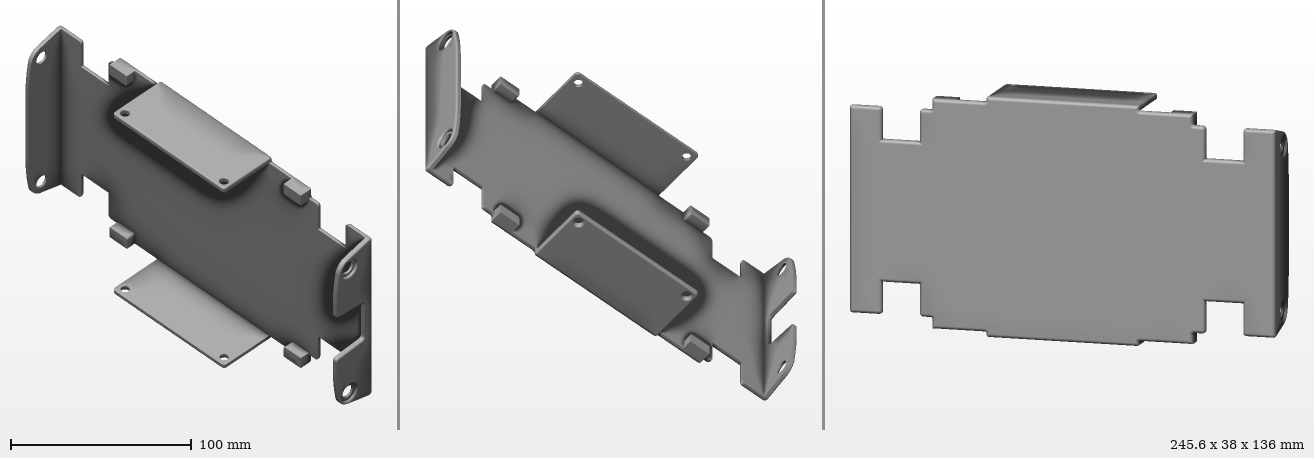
import cadquery as cq
import math

thickness = 3.0
back_round = 2.0
edge_round = 1.1

overall_length = 245.6
overall_height = 136.0
half_length = overall_length / 2
middle_half_height = overall_height / 2 - thickness
shoulder_half_height = 58.7
middle_half_length = 75.2
notch_half_height = 40.3
notch_inner_x = 82.5
notch_outer_x = 104.1
plate_corner_radius = 2.0
inside_corner_radius = 1.0

wide_flange_length = 88.0
wide_flange_depth = 38.0
wide_corner_radius = 2.0
wide_hole_diameter = 5.0
wide_hole_inset = 5.0

end_flange_depth = 28.3
end_hole_depth = 18.1
end_hole_z = 46.6
end_hole_diameter = 8.0
end_bore_diameter = 12.0
end_bore_depth = 1.6
end_bore_round = 1.1
end_corner_radius = 10.0
end_corner_depth = 16.5
end_corner_z = 44.9
straight_half_height = 25.5

cutout_floor_depth = 6.4
cutout_floor_half_height = 14.0
cutout_mouth_half_height = 15.5
cutout_floor_radius = 2.0
cutout_mouth_radius = 2.0

pad_length = 13.5
pad_height = 7.5
pad_depth = 6.2
pad_corner_radius = 1.5

SELECT_REACH = 0.01
CUT_OVERRUN = 1.0
SIGNS = (-1, 1)
CORNERS = [(side, level) for side in SIGNS for level in SIGNS]


def box_between(x_range, y_range, z_range):
    """Axis-aligned box spanning the three given ranges."""
    (x0, x1), (y0, y1), (z0, z1) = sorted(x_range), sorted(y_range), sorted(z_range)
    return cq.Workplane("XY").box(x1 - x0, y1 - y0, z1 - z0, centered=False).translate((x0, y0, z0))


def round_corners(body, points, radius):
    """Round the edges along Y that pass through the given (x, z) points."""
    selector = None
    for x, z in points:
        nearby = cq.selectors.BoxSelector(
            (x - SELECT_REACH, -thickness, z - SELECT_REACH), (x + SELECT_REACH, 0, z + SELECT_REACH)
        )
        selector = nearby if selector is None else selector + nearby
    return body.edges("|Y").edges(selector).fillet(radius)


def make_plate():
    body = box_between(
        (-half_length, half_length),
        (-thickness, 0),
        (-shoulder_half_height, shoulder_half_height),
    )
    body = body.union(
        box_between(
            (-middle_half_length, middle_half_length),
            (-thickness, 0),
            (-middle_half_height, middle_half_height),
        )
    )
    for side, level in CORNERS:
        body = body.cut(
            box_between(
                (side * notch_inner_x, side * notch_outer_x),
                (-thickness, 0),
                (level * notch_half_height, level * middle_half_height),
            )
        )
    notch_corners = [
        (side * x, level * shoulder_half_height)
        for side, level in CORNERS
        for x in (notch_inner_x, notch_outer_x)
    ]
    steps = [(side * middle_half_length, level * shoulder_half_height) for side, level in CORNERS]
    body = round_corners(body, notch_corners, plate_corner_radius)
    return round_corners(body, steps, inside_corner_radius)


def end_flange_outline():
    """Side profile in Y and Z: sloped ends, corner arcs beyond the holes and a softly bowed free edge."""
    root = (-thickness, shoulder_half_height)
    corner = (-end_corner_depth, end_corner_z)

    to_root_y = root[0] - corner[0]
    to_root_z = root[1] - corner[1]
    tangent_angle = math.atan2(to_root_z, to_root_y) + math.acos(
        end_corner_radius / math.hypot(to_root_y, to_root_z)
    )

    edge_gap = end_flange_depth - end_corner_depth - end_corner_radius
    rise = end_corner_z - straight_half_height
    centre_distance = (edge_gap**2 + rise**2) / (2 * edge_gap)
    bow_radius = centre_distance + end_corner_radius
    bow_angle = math.asin(rise / centre_distance)
    join_angle = math.pi - bow_angle

    def on_corner(angle, level):
        y = corner[0] + end_corner_radius * math.cos(angle)
        z = corner[1] + end_corner_radius * math.sin(angle)
        return (y, level * z)

    def on_bow(angle, level):
        y = -end_flange_depth + bow_radius * (1 - math.cos(angle))
        z = straight_half_height + bow_radius * math.sin(angle)
        return (y, level * z)

    middle_angle = (tangent_angle + join_angle) / 2
    return (
        cq.Workplane("YZ")
        .moveTo(0, -shoulder_half_height)
        .lineTo(0, shoulder_half_height)
        .lineTo(*root)
        .lineTo(*on_corner(tangent_angle, 1))
        .threePointArc(on_corner(middle_angle, 1), on_corner(join_angle, 1))
        .threePointArc(on_bow(bow_angle / 2, 1), on_bow(0, 1))
        .lineTo(*on_bow(0, -1))
        .threePointArc(on_bow(bow_angle / 2, -1), on_corner(join_angle, -1))
        .threePointArc(on_corner(middle_angle, -1), on_corner(tangent_angle, -1))
        .lineTo(-thickness, -shoulder_half_height)
        .close()
    )


def make_end_flange(side):
    flange = end_flange_outline().extrude(thickness)
    return flange.translate((half_length - thickness if side > 0 else -half_length, 0, 0))


def make_cutout():
    """Tapered opening through the +X end flange, rounded at its floor and at its mouth."""
    opening = (
        cq.Workplane("YZ", origin=(half_length - thickness, 0, 0))
        .moveTo(-cutout_floor_depth, cutout_floor_half_height)
        .lineTo(-end_flange_depth, cutout_mouth_half_height)
        .lineTo(-end_flange_depth, -cutout_mouth_half_height)
        .lineTo(-cutout_floor_depth, -cutout_floor_half_height)
        .close()
        .extrude(thickness)
    )
    return opening.edges("|X").edges(">Y").fillet(cutout_floor_radius)


def cut_end_opening(body):
    body = body.cut(make_cutout())
    mouth = cq.selectors.BoxSelector(
        (half_length - thickness, -end_flange_depth - SELECT_REACH, -cutout_mouth_half_height - SELECT_REACH),
        (half_length, -end_flange_depth + SELECT_REACH, cutout_mouth_half_height + SELECT_REACH),
    )
    return body.edges("|X").edges(mouth).fillet(cutout_mouth_radius)


def make_wide_flange(level):
    return box_between(
        (-wide_flange_length / 2, wide_flange_length / 2),
        (-wide_flange_depth, 0),
        (level * middle_half_height, level * overall_height / 2),
    )


def cut_wide_holes(body):
    x = wide_flange_length / 2 - wide_hole_inset
    y = -wide_flange_depth + wide_hole_inset
    drill = (
        cq.Workplane("XY", origin=(0, 0, -overall_height / 2))
        .pushPoints([(-x, y), (x, y)])
        .circle(wide_hole_diameter / 2)
        .extrude(overall_height)
    )
    return body.cut(drill)


def soften_wide_flanges(body):
    """Round the free corners of the wide flanges and the inside corners where they leave the plate."""
    roots = [(side * wide_flange_length / 2, level * middle_half_height) for side, level in CORNERS]
    body = round_corners(body, roots, inside_corner_radius)
    return body.faces("<Y").edges("|Z").fillet(wide_corner_radius)


def round_outer_edges(body):
    """Round the outer rims of the four flanges, then the plate back together with its bends."""
    clear_of_back = cq.selectors.BoxSelector(
        (-overall_length, -overall_length, -overall_length),
        (overall_length, -SELECT_REACH, overall_length),
    )
    body = body.faces("<X or >X or <Z or >Z").edges(clear_of_back).fillet(edge_round)
    return body.faces(">Y").edges().fillet(back_round)


def make_end_hole_cutter(side, level):
    """Stepped cutter: through hole plus a shallow bore with a flared rim on the outer face."""
    bore_radius = end_bore_diameter / 2
    floor = end_bore_depth
    flare = end_bore_round
    arc_middle = flare * (1 - math.sqrt(0.5))
    profile = (
        cq.Workplane("XY")
        .moveTo(-CUT_OVERRUN, 0)
        .lineTo(-CUT_OVERRUN, bore_radius + flare)
        .lineTo(0, bore_radius + flare)
        .threePointArc(
            (arc_middle, bore_radius + arc_middle),
            (flare, bore_radius),
        )
        .lineTo(floor, bore_radius)
        .lineTo(floor, end_hole_diameter / 2)
        .lineTo(thickness + CUT_OVERRUN, end_hole_diameter / 2)
        .lineTo(thickness + CUT_OVERRUN, 0)
        .close()
    )
    cutter = profile.revolve(360, (0, 0, 0), (1, 0, 0))
    if side > 0:
        cutter = cutter.mirror("YZ")
    return cutter.translate((side * half_length, -end_hole_depth, level * end_hole_z))


def make_pad(side, level):
    outer_x = side * middle_half_length
    outer_z = level * middle_half_height
    pad = box_between(
        (outer_x, outer_x - side * pad_length),
        (-thickness - pad_depth, -thickness),
        (outer_z, outer_z - level * pad_height),
    )
    inward_x = "<X" if side > 0 else ">X"
    inward_z = "<Z" if level > 0 else ">Z"
    return pad.edges("|Y").edges(inward_x).edges(inward_z).fillet(pad_corner_radius)


body = make_plate()
for sign in SIGNS:
    body = body.union(make_end_flange(sign)).union(make_wide_flange(sign))
body = cut_end_opening(body)
body = soften_wide_flanges(body)
body = cut_wide_holes(body)
body = round_outer_edges(body)
for side, level in CORNERS:
    body = body.cut(make_end_hole_cutter(side, level)).union(make_pad(side, level))

result = body